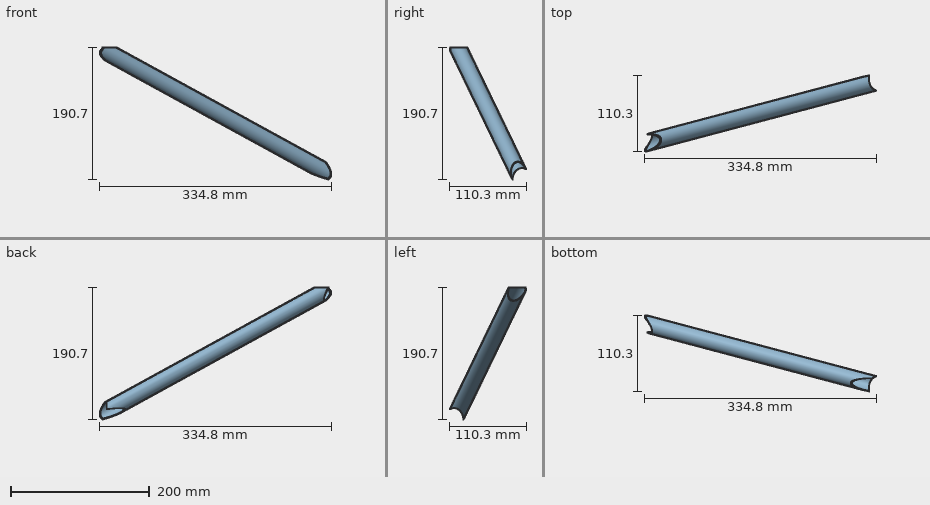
import cadquery as cq

tube_radius = 12.5
wall = 1.0
tube_middle = cq.Vector(0, 1.7, 3.0)
tube_direction = cq.Vector(1, 0.265, -0.548).normalized()
blank_length = 501.5

top_level = 95.5

cutter_size = 200.5
upper_cope_center = cq.Vector(-170.0, -35.0, 83.5)
upper_cope_axis = cq.Vector(-0.06, -0.65, 1).normalized()
upper_cope_radius = 13.0
rail_cope_center = cq.Vector(160.5, 50, -93.5)
rail_cope_axis = cq.Vector(1, -0.02, -0.04).normalized()
rail_cope_radius = 14.0
post_cope_center = cq.Vector(173.8, 49.8, -83.5)
post_cope_axis = cq.Vector(0.05, -0.07, 1).normalized()
post_cope_radius = 18.5


def centered_cylinder(center, axis, radius, length):
    """Solid cylinder with its middle at center."""
    start = center - axis * (length / 2)
    return cq.Workplane(cq.Solid.makeCylinder(radius, length, start, axis))


def end_cutter(center, axis, radius, outward):
    """Cope cylinder joined to a block that takes away everything beyond its axis."""
    sideways = (outward - axis * outward.dot(axis)).normalized()
    plane = cq.Plane(origin=center + sideways * (cutter_size / 2), xDir=sideways, normal=axis)
    beyond = cq.Workplane(plane).box(cutter_size, cutter_size, cutter_size)
    return centered_cylinder(center, axis, radius, cutter_size).union(beyond)


def hollow_tube():
    outside = centered_cylinder(tube_middle, tube_direction, tube_radius, blank_length)
    bore = centered_cylinder(tube_middle, tube_direction, tube_radius - wall, blank_length)
    return outside.cut(bore)


above_top = (
    cq.Workplane("XY", origin=(0, 0, top_level))
    .rect(2 * blank_length, 2 * blank_length)
    .extrude(blank_length)
)
upper_cutter = end_cutter(upper_cope_center, upper_cope_axis, upper_cope_radius, -tube_direction)
rail_cutter = end_cutter(rail_cope_center, rail_cope_axis, rail_cope_radius, tube_direction)
post_cutter = end_cutter(post_cope_center, post_cope_axis, post_cope_radius, tube_direction)

coped_tube = hollow_tube().cut(upper_cutter).cut(rail_cutter).cut(post_cutter).cut(above_top)

result = cq.Workplane(max(coped_tube.solids().vals(), key=lambda piece: piece.Volume()))